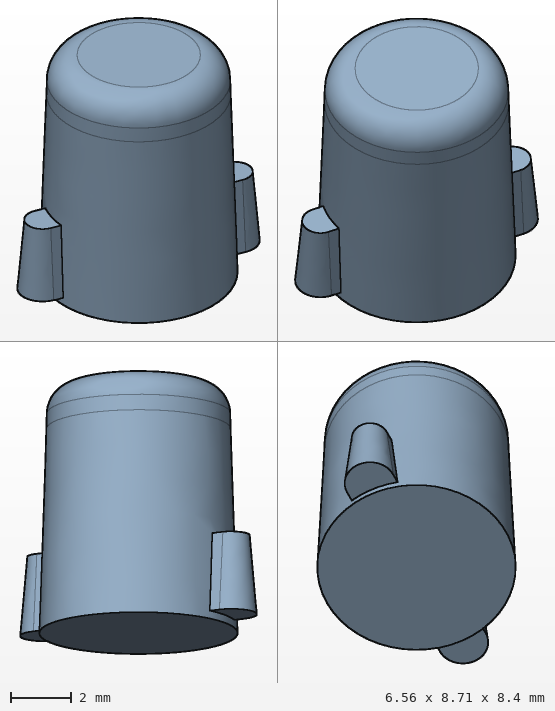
import cadquery as cq
import math

BASE_RADIUS = 3.28
TOTAL_HEIGHT = 8.4
BAND_BOTTOM = 6.9
BAND_BASE_RADIUS = 3.05
BAND_DRAFT = 1.5
TOP_EDGE_RADIUS = 1.0
BAND_HEIGHT = TOTAL_HEIGHT - BAND_BOTTOM
BAND_TOP_RADIUS = BAND_BASE_RADIUS - BAND_HEIGHT * math.tan(math.radians(BAND_DRAFT))

RIB_SPAN = 8.71
RIB_BASE_WIDTH = 1.68
RIB_DRAFT = 5.0
RIB_BOTTOM = 0.27
RIB_TOP = 2.94
RIB_HEIGHT = RIB_TOP - RIB_BOTTOM


def make_body():
    """Revolve the half profile of the knob about Z."""
    profile = (
        cq.Workplane("XZ")
        .lineTo(BASE_RADIUS, 0)
        .lineTo(BAND_BASE_RADIUS, BAND_BOTTOM)
        .lineTo(BAND_TOP_RADIUS, TOTAL_HEIGHT)
        .lineTo(0, TOTAL_HEIGHT)
        .close()
    )
    knob = profile.revolve(360, (0, 0, 0), (0, 1, 0))
    return knob.faces(">Z").edges().fillet(TOP_EDGE_RADIUS)


def make_ribs():
    """One drafted slot shape through the body leaves a rib on each side."""
    return (
        cq.Workplane("XY")
        .workplane(offset=RIB_BOTTOM)
        .slot2D(RIB_SPAN, RIB_BASE_WIDTH, 90)
        .extrude(RIB_HEIGHT, taper=RIB_DRAFT)
    )


result = make_body().union(make_ribs())